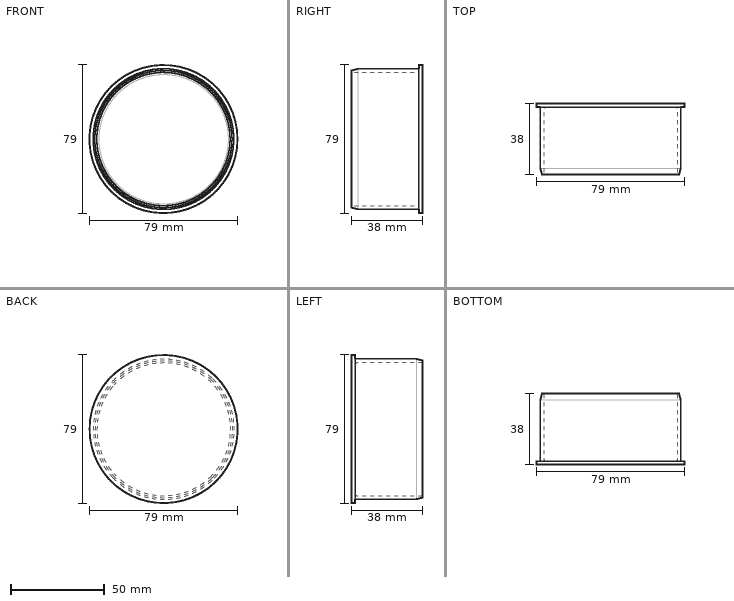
import cadquery as cq
import math

flange_diameter = 79.0
plug_diameter = 75.0
bore_diameter = 71.0
total_length = 38.0
flange_thickness = 2.0
floor_thickness = 2.0
floor_fillet_radius = 1.0
lead_in_length = 3.5
lead_in_angle = 15.0

flange_radius = flange_diameter / 2
plug_radius = plug_diameter / 2
bore_radius = bore_diameter / 2
lead_in_depth = lead_in_length * math.tan(math.radians(lead_in_angle))
plug_length = total_length - flange_thickness
cup_depth = total_length - floor_thickness

outer_body = (
    cq.Workplane("XY")
    .polyline([
        (0, 0),
        (plug_radius - lead_in_depth, 0),
        (plug_radius, lead_in_length),
        (plug_radius, plug_length),
        (flange_radius, plug_length),
        (flange_radius, total_length),
        (0, total_length),
    ])
    .close()
    .revolve(360, (0, 0, 0), (0, 1, 0))
)

cavity = (
    cq.Workplane("XZ")
    .circle(bore_radius)
    .extrude(-cup_depth)
    .faces(">Y")
    .edges()
    .fillet(floor_fillet_radius)
)

result = outer_body.cut(cavity)